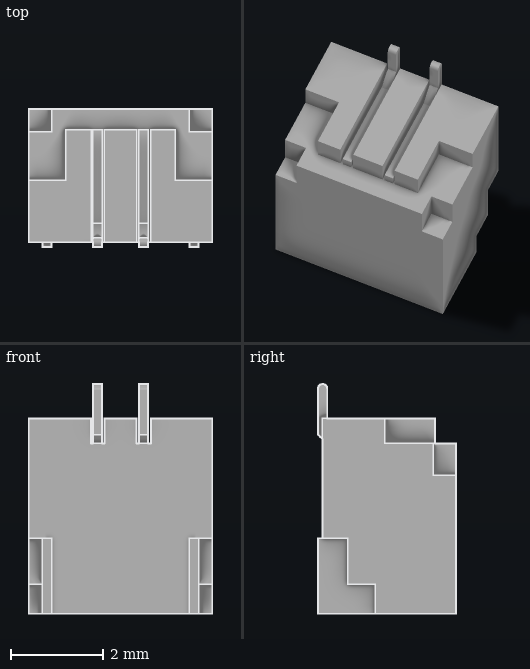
import cadquery as cq

width = 3.99
depth = 3.0
front_y = 0.1
body_height = 4.24
total_height = 4.99

ledge_z = 3.705
upper_back_y = 2.545
shoulder_back_y = 1.445
shoulder_width = 0.805
corner_size = 0.5
corner_floor_z = 3.005

terminal_slots = [(-0.5, -0.64, -0.35), (0.5, 0.35, 0.66)]
terminal_thickness = 0.205
terminal_width = 0.2
outer_bevel = 0.19
inner_bevel = 0.31

clip_inset = 0.3
clip_thickness = 0.2
clip_height = 1.645
clip_upper_depth = 0.65
clip_foot_depth = 1.248
clip_foot_height = 0.65


def block(x_min, x_max, y_min, y_max, z_min, z_max):
    """Box given by its limits along each axis."""
    return cq.Workplane("XY").box(
        x_max - x_min, y_max - y_min, z_max - z_min, centered=False
    ).translate((x_min, y_min, z_min))


def make_housing():
    """Stepped housing with a ledge, two shoulders and notched back corners."""
    half = width / 2
    upper_half = half - shoulder_width
    housing = block(-half, half, front_y, depth, 0, ledge_z)
    housing = housing.union(block(-half, half, front_y, shoulder_back_y, ledge_z, body_height))
    housing = housing.union(block(-upper_half, upper_half, front_y, upper_back_y, ledge_z, body_height))
    for left in (-half, half - corner_size):
        notch = block(left, left + corner_size, depth - corner_size, depth, corner_floor_z, ledge_z)
        housing = housing.cut(notch)
    return housing


def clip_profile(x_min, thickness):
    """Stepped clip outline in YZ, extruded along +X from x_min."""
    return (
        cq.Workplane("YZ", origin=(x_min, 0, 0))
        .polyline([
            (0, 0),
            (clip_foot_depth, 0),
            (clip_foot_depth, clip_foot_height),
            (clip_upper_depth, clip_foot_height),
            (clip_upper_depth, clip_height),
            (0, clip_height),
        ])
        .close()
        .extrude(thickness)
    )


def make_terminal(x_center):
    """Bent terminal: a bar on the slot floor rising to a round-ended pin."""
    bar_top_z = ledge_z + terminal_thickness
    tip_radius = terminal_thickness / 2
    tip_start_z = total_height - tip_radius
    return (
        cq.Workplane("YZ", origin=(x_center - terminal_width / 2, 0, 0))
        .moveTo(outer_bevel, ledge_z)
        .lineTo(upper_back_y, ledge_z)
        .lineTo(upper_back_y, bar_top_z)
        .lineTo(terminal_thickness + inner_bevel, bar_top_z)
        .lineTo(terminal_thickness, bar_top_z + inner_bevel)
        .lineTo(terminal_thickness, tip_start_z)
        .threePointArc((tip_radius, total_height), (0, tip_start_z))
        .lineTo(0, ledge_z + outer_bevel)
        .close()
        .extrude(terminal_width)
    )


result = make_housing()

clip_outer_x = width / 2 - clip_inset
for recess_x, clip_x in (
    (-width / 2, -clip_outer_x),
    (clip_outer_x, clip_outer_x - clip_thickness),
):
    result = result.cut(clip_profile(recess_x, clip_inset))
    result = result.union(clip_profile(clip_x, clip_thickness))

for terminal_x, slot_left, slot_right in terminal_slots:
    result = result.cut(block(slot_left, slot_right, front_y, upper_back_y, ledge_z, body_height))
    result = result.union(make_terminal(terminal_x))